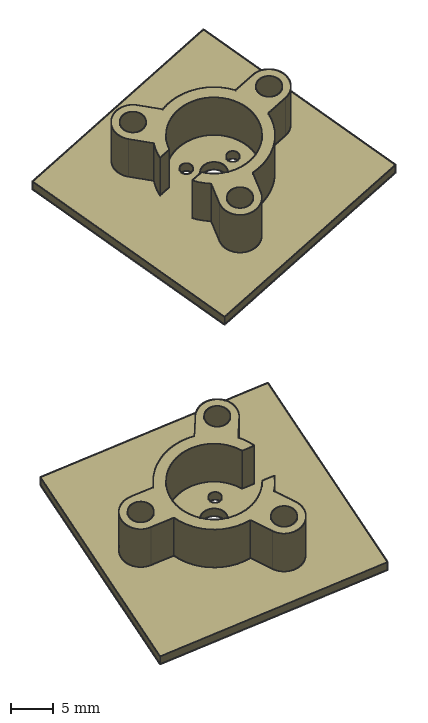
import cadquery as cq

plate_side = 30
plate_thickness = 1.5
total_height = 8.7
holder_height = total_height - plate_thickness

ring_outer_diameter = 14.22
ring_inner_diameter = 11.22
gap_width = 5.0
arm_width = 5.1
arm_reach = 9.65
arm_angles = (90, 210, 330)

center_hole_diameter = 3.3
mount_hole_diameter = 3.1
small_hole_diameter = 1.6
small_hole_reach = 3.3


def disc(diameter, height):
    """Cylinder on the Z axis, standing on the underside of the plate."""
    return cq.Workplane("XY").circle(diameter / 2).extrude(height)


def arm(angle):
    """Round-ended arm running outward from the axis, on top of the plate."""
    bar = (
        cq.Workplane("XY", origin=(0, 0, plate_thickness))
        .center(arm_reach / 2, 0)
        .slot2D(arm_reach + arm_width, arm_width)
        .extrude(holder_height)
    )
    return bar.rotate((0, 0, 0), (0, 0, 1), angle)


def hole_pattern(diameter, reach):
    """One through hole in line with each arm."""
    holes = cq.Workplane("XY")
    for angle in arm_angles:
        hole = disc(diameter, total_height).translate((reach, 0, 0))
        holes = holes.add(hole.rotate((0, 0, 0), (0, 0, 1), angle))
    return holes.combine()


holder = disc(ring_outer_diameter, holder_height).translate((0, 0, plate_thickness))
for arm_angle in arm_angles:
    holder = holder.union(arm(arm_angle))

bore = disc(ring_inner_diameter, total_height)
gap_length = ring_outer_diameter / 2
gap = (
    cq.Workplane("XY")
    .center(0, -gap_length / 2)
    .rect(gap_width, gap_length)
    .extrude(total_height)
)
holder = holder.cut(bore).cut(gap)

plate = cq.Workplane("XY").rect(plate_side, plate_side).extrude(plate_thickness)
result = (
    plate.union(holder)
    .cut(disc(center_hole_diameter, plate_thickness))
    .cut(hole_pattern(mount_hole_diameter, arm_reach))
    .cut(hole_pattern(small_hole_diameter, small_hole_reach))
)